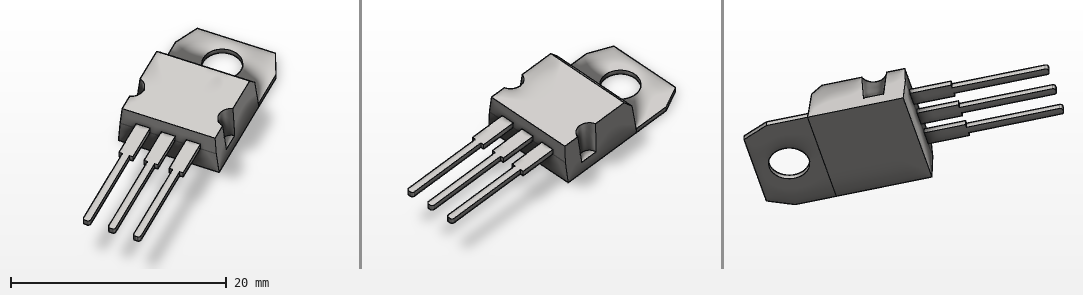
import cadquery as cq
import math

length = 28.9
width = 10.2
height = 4.5
draft = math.tan(math.radians(5))

housing_rear = 22.48
parting_front = 13.15
parting_height = 2.57
front_underside_setback = 0.15
front_top_setback = 0.1
bevel_bottom = 3.45
bevel_top_y = 21.2

notch_x = 5.05
notch_y = 16.18
notch_floor = 1.2
notch_top_radius = 1.25

tab_thickness = 0.52
tab_end_width = 7.92
tab_shoulder = 2.45
hole_diameter = 3.81
hole_from_end = 3.27

lead_count = 3
lead_pitch = 2.55
lead_thickness = 0.58
lead_root_width = 1.42
lead_width = 0.72
lead_step_y = 9.2
tip_radius = 0.25


def make_notch(side):
    """Conical cutter that widens from the notch floor to the top face."""
    depth = height - notch_floor
    floor_radius = notch_top_radius - depth * draft
    return (
        cq.Workplane("XY", origin=(side * notch_x, notch_y, notch_floor))
        .circle(floor_radius)
        .workplane(offset=depth)
        .circle(notch_top_radius)
        .loft()
    )


def make_housing():
    """Moulded block: side profile limited by drafted sides, with two notches."""
    profile = [
        (parting_front + front_underside_setback, 0),
        (housing_rear, 0),
        (housing_rear - bevel_bottom * draft, bevel_bottom),
        (bevel_top_y, height),
        (parting_front + front_top_setback, height),
        (parting_front, parting_height),
    ]
    block = cq.Workplane("YZ").polyline(profile).close().extrude(width / 2, both=True)

    half_bottom = width / 2
    half_top = half_bottom - height * draft
    section = [(-half_bottom, 0), (half_bottom, 0), (half_top, height), (-half_top, height)]
    drafted_sides = cq.Workplane("XZ").polyline(section).close().extrude(-length)

    body = block.intersect(drafted_sides)
    for side in (-1, 1):
        body = body.cut(make_notch(side))
    return body


def make_tab():
    """Mounting plate that butts against the sloping rear face of the housing."""
    side_profile = [
        (housing_rear, 0),
        (length, 0),
        (length, tab_thickness),
        (housing_rear - tab_thickness * draft, tab_thickness),
    ]
    plate = cq.Workplane("YZ").polyline(side_profile).close().extrude(width / 2, both=True)

    corner_width = (width - tab_end_width) / 2
    for side in (-1, 1):
        edge_x = side * width / 2
        corner = (
            cq.Workplane("XY")
            .polyline([
                (edge_x, length - tab_shoulder),
                (edge_x, length),
                (edge_x - side * corner_width, length),
            ])
            .close()
            .extrude(tab_thickness)
        )
        plate = plate.cut(corner)

    hole = (
        cq.Workplane("XY")
        .center(0, length - hole_from_end)
        .circle(hole_diameter / 2)
        .extrude(tab_thickness)
    )
    return plate.cut(hole)


def make_lead(x, housing):
    """Stepped flat lead with a rounded tip, butting against the housing front."""
    base = cq.Workplane("XY", origin=(x, 0, parting_height))
    root_end = parting_front + front_top_setback
    root = (
        base.center(0, (lead_step_y + root_end) / 2)
        .rect(lead_root_width, root_end - lead_step_y)
        .extrude(lead_thickness)
    )
    blade = (
        base.center(0, lead_step_y / 2)
        .rect(lead_width, lead_step_y)
        .extrude(lead_thickness)
        .faces("<Y")
        .edges("|Z")
        .fillet(tip_radius)
    )
    return root.union(blade).cut(housing)


housing = make_housing()
tab = make_tab()
leads = []
for index in range(lead_count):
    lead_x = (index - (lead_count - 1) / 2) * lead_pitch
    leads.append(make_lead(lead_x, housing).solids().val())

result = cq.Compound.makeCompound([housing.solids().val(), tab.solids().val(), *leads])